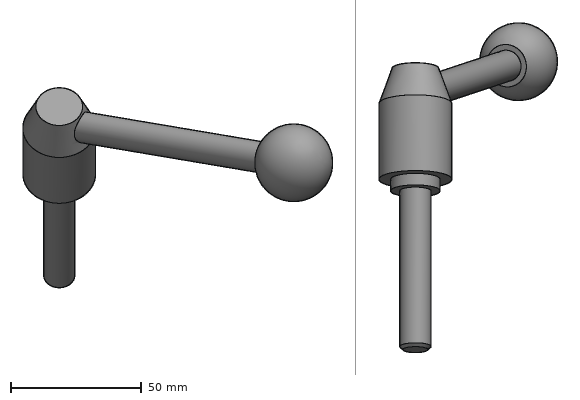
import cadquery as cq
import math

stud_diameter = 12.0
stud_length = 62.8
stud_chamfer = 1.2
collar_diameter = 19.0
collar_height = 4.5
hub_diameter = 28.0
hub_straight_height = 30.0
hub_cone_height = 14.0
hub_top_diameter = 18.0

ball_diameter = 30.0
ball_flat_diameter = 16.4
overall_height = 152.0
ball_reach = 100.7
arm_diameter = 12.0
arm_angle = 20.0

hub_bottom = stud_length + collar_height
cone_bottom = hub_bottom + hub_straight_height
hub_top = cone_bottom + hub_cone_height
ball_radius = ball_diameter / 2
ball_height = overall_height - ball_radius


def make_body():
    """Stud, collar and tapered hub, revolved about Z."""
    stud_radius = stud_diameter / 2
    profile = [
        (0, 0),
        (stud_radius - stud_chamfer, 0),
        (stud_radius, stud_chamfer),
        (stud_radius, stud_length),
        (collar_diameter / 2, stud_length),
        (collar_diameter / 2, hub_bottom),
        (hub_diameter / 2, hub_bottom),
        (hub_diameter / 2, cone_bottom),
        (hub_top_diameter / 2, hub_top),
        (0, hub_top),
    ]
    return cq.Workplane("XZ").polyline(profile).close().revolve(360, (0, 0), (0, 1))


def make_handle():
    """Arm and ball, revolved about the arm axis, which meets the stud axis inside the hub."""
    arm_length = ball_reach / math.cos(math.radians(arm_angle))
    arm_radius = arm_diameter / 2
    flat_radius = ball_flat_diameter / 2
    flat_place = arm_length - math.sqrt(ball_radius**2 - flat_radius**2)
    handle = (
        cq.Workplane("XZ")
        .moveTo(0, 0)
        .lineTo(0, arm_radius)
        .lineTo(flat_place, arm_radius)
        .lineTo(flat_place, flat_radius)
        .threePointArc((arm_length, ball_radius), (arm_length + ball_radius, 0))
        .close()
        .revolve(360, (0, 0), (1, 0))
    )
    axis_start_height = ball_height - ball_reach * math.tan(math.radians(arm_angle))
    return handle.rotate((0, 0, 0), (0, 1, 0), -arm_angle).translate((0, 0, axis_start_height))


result = make_body().union(make_handle())